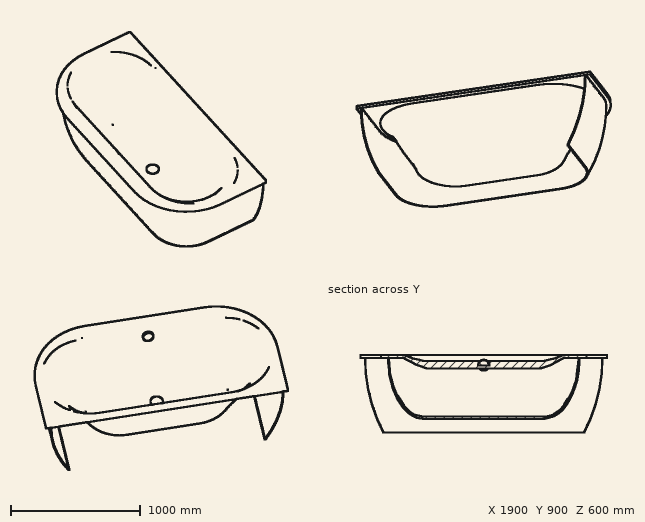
import cadquery as cq
import math


RIM_LENGTH = 1900.0
RIM_BACK = 420.0
RIM_CORNER_RADIUS = 480.0
RIM_THICKNESS = 25.0
RIM_TOP = 600.0
RIM_BOTTOM = RIM_TOP - RIM_THICKNESS
RIM_EDGE_ROUND = 2.9
RIM_BACK_CORNER_ROUND = 5.0
CORNER_CENTRE_X = RIM_LENGTH / 2 - RIM_CORNER_RADIUS

OPENING_STRAIGHT_HALF = 535.0
OPENING_RADIUS = 363.0
OPENING_ROUND = 11.0
SHELL_THICKNESS = 11.0

END_SLOPE = [(505.0, 780.0), (430.0, 735.0), (335.0, 678.0)]

FLOOR_Z = 135.0
FLOOR_STRAIGHT_HALF = 290.0
FLOOR_END_REACH = 222.0
FLOOR_HALF_WIDTH = 241.0
ROUND_TOP_Z = 170.0
ROUND_TOP_END_REACH = 289.0
ROUND_TOP_HALF_WIDTH = 270.0
ROUND_MID_SPREAD = 0.61
ROUND_MID_RISE = 0.27

APRON_INSET = 35.0
APRON_RADIUS = RIM_CORNER_RADIUS - APRON_INSET
APRON_TAPER = 143.0
APRON_THICKNESS = 8.0

DRAIN_RADIUS = 48.5
DRAIN_EDGE_HEIGHT = 4.0
DRAIN_DOME_RISE = 5.0

OVERFLOW_DIAMETER = 82.0
OVERFLOW_THICKNESS = 17.0
OVERFLOW_TILT = 12.0
OVERFLOW_FACE_Y = -336.0
OVERFLOW_Z = 523.0


def blend(start, end, share):
    return start + (end - start) * share


def oval_wire(height, straight_half, end_reach, half_width):
    """Long oval: two straight sides joined by half ellipses, each split at its tip."""
    return (
        cq.Workplane("XY", origin=(0, 0, height))
        .moveTo(straight_half, half_width)
        .lineTo(-straight_half, half_width)
        .ellipseArc(end_reach, half_width, 90, 180, startAtCurrent=True)
        .ellipseArc(end_reach, half_width, 180, 270, startAtCurrent=True)
        .lineTo(straight_half, -half_width)
        .ellipseArc(end_reach, half_width, 270, 360, startAtCurrent=True)
        .ellipseArc(end_reach, half_width, 0, 90, startAtCurrent=True)
        .wire()
        .val()
    )


def wall_sections():
    """Height, straight half, end reach and half width of the wall's ovals, from the top down."""
    sections = [(RIM_TOP, OPENING_STRAIGHT_HALF, OPENING_RADIUS, OPENING_RADIUS)]
    for height, half_length in END_SLOPE:
        share = (RIM_TOP - height) / (RIM_TOP - ROUND_TOP_Z)
        end_reach = blend(OPENING_RADIUS, ROUND_TOP_END_REACH, share)
        half_width = blend(OPENING_RADIUS, ROUND_TOP_HALF_WIDTH, share)
        sections.append((height, half_length - end_reach, end_reach, half_width))
    sections.append((ROUND_TOP_Z, FLOOR_STRAIGHT_HALF, ROUND_TOP_END_REACH, ROUND_TOP_HALF_WIDTH))
    return sections


def floor_round_sections():
    """The same values for the concave round from the wall down to the flat floor."""
    top = (ROUND_TOP_Z, FLOOR_STRAIGHT_HALF, ROUND_TOP_END_REACH, ROUND_TOP_HALF_WIDTH)
    middle = (
        blend(FLOOR_Z, ROUND_TOP_Z, ROUND_MID_RISE),
        FLOOR_STRAIGHT_HALF,
        blend(FLOOR_END_REACH, ROUND_TOP_END_REACH, ROUND_MID_SPREAD),
        blend(FLOOR_HALF_WIDTH, ROUND_TOP_HALF_WIDTH, ROUND_MID_SPREAD),
    )
    floor = (FLOOR_Z, FLOOR_STRAIGHT_HALF, FLOOR_END_REACH, FLOOR_HALF_WIDTH)
    return [top, middle, floor]


def basin_parts(offset):
    """Wall and floor-round volumes of the basin, grown sideways and moved down by the offset."""
    parts = []
    for sections in (wall_sections(), floor_round_sections()):
        wires = [
            oval_wire(height - offset, straight_half, end_reach + offset, half_width + offset)
            for height, straight_half, end_reach, half_width in sections
        ]
        parts.append(cq.Workplane(cq.Solid.makeLoft(wires)))
    return parts


def u_outline(half_length, radius):
    """Plan outline, open along the back: straight ends, quarter-circle corners, straight front."""
    diagonal = radius * math.sqrt(0.5)
    return (
        cq.Workplane("XY")
        .moveTo(-half_length, RIM_BACK)
        .lineTo(-half_length, 0)
        .threePointArc((-CORNER_CENTRE_X - diagonal, -diagonal), (-CORNER_CENTRE_X, -radius))
        .lineTo(CORNER_CENTRE_X, -radius)
        .threePointArc((CORNER_CENTRE_X + diagonal, -diagonal), (half_length, 0))
        .lineTo(half_length, RIM_BACK)
    )


def make_rim():
    return (
        u_outline(RIM_LENGTH / 2, RIM_CORNER_RADIUS)
        .close()
        .extrude(RIM_THICKNESS)
        .translate((0, 0, RIM_BOTTOM))
        .edges("|Z and >Y")
        .fillet(RIM_BACK_CORNER_ROUND)
        .faces(">Z")
        .edges()
        .fillet(RIM_EDGE_ROUND)
    )


def make_tub(overflow_cap):
    """Rim and basin shell in one piece, with a recess for the overflow cap."""
    tub = make_rim()
    for outside in basin_parts(SHELL_THICKNESS):
        tub = tub.union(outside)
    for hollow in basin_parts(0):
        tub = tub.cut(hollow)
    opening = tub.faces(">Z").val().innerWires()[0]
    tub = tub.newObject(opening.Edges()).fillet(OPENING_ROUND)
    return tub.cut(overflow_cap)


def make_apron():
    """Curved panel swept around the front and both ends, upright where it meets the rim."""
    half_length = CORNER_CENTRE_X + APRON_RADIUS
    arc_radius = (RIM_BOTTOM**2 + APRON_TAPER**2) / (2 * APRON_TAPER)
    mid_angle = math.asin(RIM_BOTTOM / arc_radius) / 2
    mid_inset = arc_radius * (1 - math.cos(mid_angle))
    mid_z = RIM_BOTTOM - arc_radius * math.sin(mid_angle)
    profile = (
        cq.Workplane("XZ", origin=(-half_length, RIM_BACK, 0))
        .moveTo(0, RIM_BOTTOM)
        .threePointArc((mid_inset, mid_z), (APRON_TAPER, 0))
        .lineTo(APRON_TAPER + APRON_THICKNESS, 0)
        .threePointArc((mid_inset + APRON_THICKNESS, mid_z), (APRON_THICKNESS, RIM_BOTTOM))
        .close()
    )
    return profile.sweep(u_outline(half_length, APRON_RADIUS))


def make_drain_cap():
    """Shallow dome on a low cylindrical edge, resting on the basin floor."""
    dome_radius = (DRAIN_RADIUS**2 + DRAIN_DOME_RISE**2) / (2 * DRAIN_DOME_RISE)
    top_z = DRAIN_EDGE_HEIGHT + DRAIN_DOME_RISE
    mid_x = DRAIN_RADIUS / 2
    mid_z = top_z - dome_radius + math.sqrt(dome_radius**2 - mid_x**2)
    return (
        cq.Workplane("XZ", origin=(0, 0, FLOOR_Z))
        .lineTo(DRAIN_RADIUS, 0)
        .lineTo(DRAIN_RADIUS, DRAIN_EDGE_HEIGHT)
        .threePointArc((mid_x, mid_z), (0, top_z))
        .close()
        .revolve(360, (0, 0, 0), (0, 1, 0))
    )


def make_overflow_cap():
    """Disc set into the front wall, tilted to lie parallel to it."""
    tilt = math.radians(OVERFLOW_TILT)
    face_plane = cq.Plane(
        origin=(0, OVERFLOW_FACE_Y, OVERFLOW_Z),
        xDir=(1, 0, 0),
        normal=(0, math.cos(tilt), math.sin(tilt)),
    )
    return cq.Workplane(face_plane).circle(OVERFLOW_DIAMETER / 2).extrude(-OVERFLOW_THICKNESS)


drain_cap = make_drain_cap()
overflow_cap = make_overflow_cap()
tub = make_tub(overflow_cap)
apron = make_apron()

result = cq.Compound.makeCompound(
    [
        tub.solids().val(),
        apron.val(),
        drain_cap.val(),
        overflow_cap.val(),
    ]
)